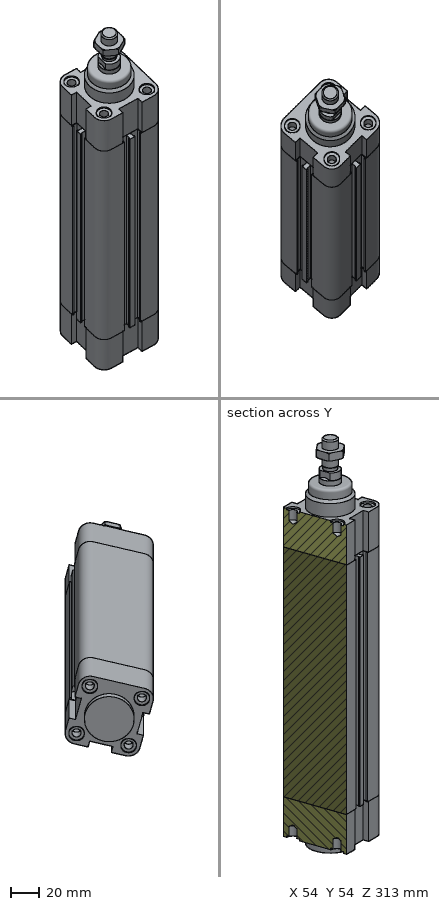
import cadquery as cq
import math


BODY_WIDTH = 54.0
CORNER_RADIUS = 8.5
HALF_WIDTH = BODY_WIDTH / 2

TOTAL_HEIGHT = 313.0
REAR_BOSS_HEIGHT = 5.0
FRONT_CAP_TOP = 259.2
CAP_HEIGHT = 31.0
TUBE_BOTTOM = REAR_BOSS_HEIGHT + CAP_HEIGHT
TUBE_TOP = FRONT_CAP_TOP - CAP_HEIGHT

RECESS_WIDTH = 17.0
RECESS_DEPTH = 4.7

SLOT_OPENING_WIDTH = 14.0
SLOT_WIDTH = 16.0
SLOT_DEPTH = RECESS_DEPTH
LIP_THICKNESS = 1.3
RIB_HEAD_WIDTH = 4.7
RIB_NECK_WIDTH = 3.5
SLOTTED_SIDE_ANGLES = (-90, 0, 90)

HOLE_PITCH = 38.0
COUNTERBORE_DIAMETER = 11.0
COUNTERBORE_DEPTH = 1.3
HOLE_DIAMETER = 6.3
HOLE_DEPTH = 7.8
DRILL_POINT_ANGLE = 118.0

BOSS_DIAMETER = 35.0
COLLAR_DIAMETER = 31.0
STEP_CHAMFER = (BOSS_DIAMETER - COLLAR_DIAMETER) / 2
COLLAR_STEP_HEIGHT = 12.5
COLLAR_TOP_HEIGHT = 19.7
COLLAR_FILLET = 2.0

ROD_DIAMETER = 16.0
FLATS_WIDTH = 13.0
FLATS_DIAMETER = 15.5
SHANK_CHAMFER = (ROD_DIAMETER - FLATS_WIDTH) / 2
SHANK_TOP = 284.2
ROD_SHOULDER = 289.0
NECK_DIAMETER = 10.5
THREAD_BOTTOM = 291.7
THREAD_DIAMETER = 12.0
THREAD_CHAMFER = 1.1

NUT_BOTTOM = 299.2
NUT_HEIGHT = 6.3
NUT_SIDES = 6
NUT_ACROSS_FLATS = 19.0
NUT_ACROSS_CORNERS = NUT_ACROSS_FLATS / math.cos(math.pi / NUT_SIDES)
NUT_CHAMFER_ANGLE = 30.0
NUT_CHAMFER = 1.0


def square_prism(height):
    return (
        cq.Workplane("XY")
        .rect(BODY_WIDTH, BODY_WIDTH)
        .extrude(height)
        .edges("|Z")
        .fillet(CORNER_RADIUS)
    )


def cut_slotted_sides(body, cutter):
    """Cut a cutter made for the -Y side out of all slotted sides."""
    for angle in SLOTTED_SIDE_ANGLES:
        body = body.cut(cutter.rotate((0, 0, 0), (0, 0, 1), angle))
    return body


def side_box(width, start_depth, end_depth, height):
    """Box on the -Y side between two depths below its face."""
    return (
        cq.Workplane("XY")
        .center(0, -HALF_WIDTH + (start_depth + end_depth) / 2)
        .rect(width, end_depth - start_depth)
        .extrude(height)
    )


def stepped_hole(top):
    """Counterbored blind hole with a conical end, on the Z axis."""
    bore_radius = HOLE_DIAMETER / 2
    bore_end = top - COUNTERBORE_DEPTH - HOLE_DEPTH
    point_depth = bore_radius / math.tan(math.radians(DRILL_POINT_ANGLE / 2))
    return (
        cq.Workplane("XZ")
        .moveTo(0, top)
        .lineTo(COUNTERBORE_DIAMETER / 2, top)
        .lineTo(COUNTERBORE_DIAMETER / 2, top - COUNTERBORE_DEPTH)
        .lineTo(bore_radius, top - COUNTERBORE_DEPTH)
        .lineTo(bore_radius, bore_end)
        .lineTo(0, bore_end - point_depth)
        .close()
        .revolve()
    )


def end_cap():
    """Cap on Z = 0 with its outer face up."""
    cap = cut_slotted_sides(square_prism(CAP_HEIGHT), side_box(RECESS_WIDTH, 0, RECESS_DEPTH, CAP_HEIGHT))
    hole = stepped_hole(CAP_HEIGHT)
    for x in (-HOLE_PITCH / 2, HOLE_PITCH / 2):
        for y in (-HOLE_PITCH / 2, HOLE_PITCH / 2):
            cap = cap.cut(hole.translate((x, y, 0)))
    return cap


def make_front_cap():
    boss = (
        cq.Workplane("XY")
        .circle(BOSS_DIAMETER / 2)
        .extrude(CAP_HEIGHT + COLLAR_STEP_HEIGHT)
        .faces(">Z")
        .chamfer(STEP_CHAMFER)
    )
    collar = (
        cq.Workplane("XY")
        .circle(COLLAR_DIAMETER / 2)
        .extrude(CAP_HEIGHT + COLLAR_TOP_HEIGHT)
        .faces(">Z")
        .fillet(COLLAR_FILLET)
    )
    rod_bore = cq.Workplane("XY").circle(ROD_DIAMETER / 2).extrude(CAP_HEIGHT + COLLAR_TOP_HEIGHT)
    return end_cap().union(boss).union(collar).cut(rod_bore).translate((0, 0, TUBE_TOP))


def make_rear_cap():
    boss = cq.Workplane("XY").circle(BOSS_DIAMETER / 2).extrude(CAP_HEIGHT + REAR_BOSS_HEIGHT)
    return end_cap().union(boss).mirror("XY").translate((0, 0, TUBE_BOTTOM))


def make_tube():
    length = TUBE_TOP - TUBE_BOTTOM
    opening = side_box(SLOT_OPENING_WIDTH, 0, LIP_THICKNESS, length)
    undercut = side_box(SLOT_WIDTH, LIP_THICKNESS, SLOT_DEPTH, length)
    rib_head = side_box(RIB_HEAD_WIDTH, 0, LIP_THICKNESS, length)
    rib_neck = side_box(RIB_NECK_WIDTH, LIP_THICKNESS, SLOT_DEPTH, length)
    slots = opening.union(undercut).cut(rib_head).cut(rib_neck)
    return cut_slotted_sides(square_prism(length), slots).translate((0, 0, TUBE_BOTTOM))


def make_rod():
    """Stepped rod with wrench flats facing -Y and +Y; the shank chamfer runs up to the flats."""

    def section(diameter, bottom, top):
        return cq.Workplane("XY").workplane(offset=bottom).circle(diameter / 2).extrude(top - bottom)

    shank = section(ROD_DIAMETER, TUBE_TOP, SHANK_TOP).faces(">Z").chamfer(SHANK_CHAMFER)
    flats_envelope = cq.Workplane("XY").box(ROD_DIAMETER, FLATS_WIDTH, 2 * TOTAL_HEIGHT)
    wrench_part = section(FLATS_DIAMETER, TUBE_TOP, ROD_SHOULDER).intersect(flats_envelope)
    neck = section(NECK_DIAMETER, ROD_SHOULDER, THREAD_BOTTOM)
    thread = section(THREAD_DIAMETER, THREAD_BOTTOM, TOTAL_HEIGHT).faces(">Z").chamfer(THREAD_CHAMFER)
    return shank.union(wrench_part).union(neck).union(thread)


def make_nut():
    """Hexagonal nut with flats facing -Y and +Y and both ends chamfered by a cone."""
    hexagon = cq.Workplane("XY").polygon(NUT_SIDES, NUT_ACROSS_CORNERS).extrude(NUT_HEIGHT)
    axial = NUT_CHAMFER * math.tan(math.radians(NUT_CHAMFER_ANGLE))
    envelope = (
        cq.Workplane("XY")
        .circle(NUT_ACROSS_CORNERS / 2)
        .extrude(NUT_HEIGHT)
        .faces("<Z or >Z")
        .chamfer(axial, NUT_CHAMFER)
    )
    thread_hole = cq.Workplane("XY").circle(THREAD_DIAMETER / 2).extrude(NUT_HEIGHT)
    return hexagon.intersect(envelope).cut(thread_hole).translate((0, 0, NUT_BOTTOM))


front_cap = make_front_cap()
rear_cap = make_rear_cap()
tube = make_tube()
rod = make_rod()
nut = make_nut()

result = cq.Compound.makeCompound([front_cap.val(), rear_cap.val(), tube.val(), rod.val(), nut.val()])